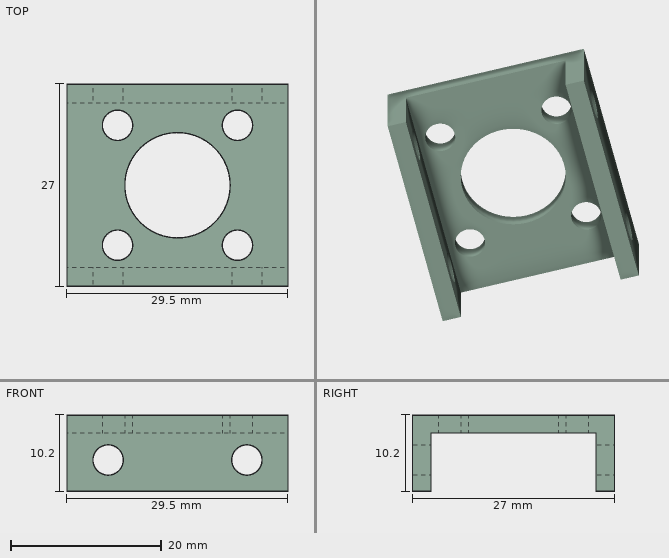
import cadquery as cq

length = 29.5
width = 27.0
height = 10.18
plate_thickness = 2.4
flange_thickness = 2.5

bore_diameter = 14.0
screw_diameter = 4.0
plate_hole_spacing = 16.0
flange_hole_spacing = 18.5
flange_hole_depth = 6.0


def channel():
    """Top plate with a flange down each long side, open at both X ends."""
    block = cq.Workplane("XY").box(length, width, height, centered=(True, True, False))
    gap = cq.Workplane("XY").box(
        length,
        width - 2 * flange_thickness,
        height - plate_thickness,
        centered=(True, True, False),
    )
    return block.cut(gap)


def plate_holes():
    """Central bore and four screw holes through the top plate."""
    bore = cq.Workplane("XY").circle(bore_diameter / 2).extrude(height)
    screws = (
        cq.Workplane("XY")
        .rect(plate_hole_spacing, plate_hole_spacing, forConstruction=True)
        .vertices()
        .circle(screw_diameter / 2)
        .extrude(height)
    )
    return bore.union(screws)


def flange_holes():
    """Two screw holes along Y through both flanges."""
    return (
        cq.Workplane("XZ")
        .center(0, height - flange_hole_depth)
        .rarray(flange_hole_spacing, 0.3, 2, 1)
        .circle(screw_diameter / 2)
        .extrude(width / 2, both=True)
    )


result = channel().cut(plate_holes()).cut(flange_holes())